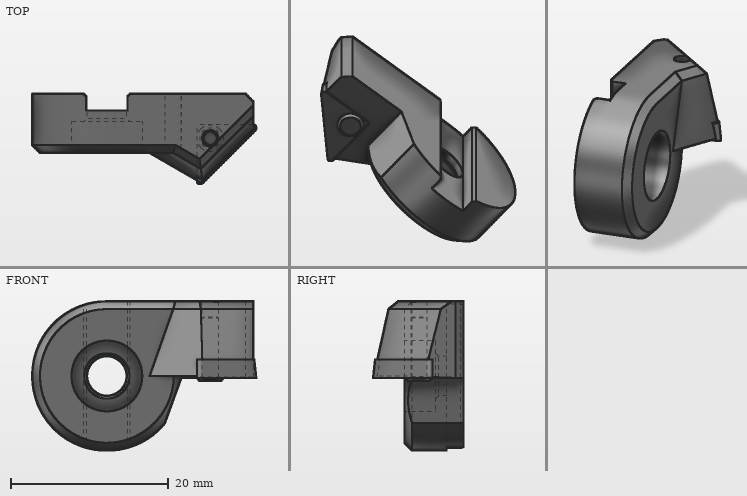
import cadquery as cq
import math

hub_radius = 9.505
thickness = 7.52
edge_chamfer = 1.0
hub_flat_distance = 8.98
hub_flat_angle = 20.0
bore_radius = 2.5
bore_chamfer = 0.37
counterbore_radius = 4.5
counterbore_depth = 4.0
slot_width = 5.2
slot_depth = 2.15
slot_edge_chamfer = 0.37

arm_end_x = 18.6
lean_angle = 10.0
facet_angle = 30.0
facet_start_x = 8.45
diagonal_position = 21.5

insert_bottom_z = -0.28
insert_height = 2.4
insert_flank_x = 11.43
insert_flank_y = -3.93
insert_edge_position = 23.55
insert_edge_relief = 0.25
insert_tip_radius = 0.43

screw_x = 13.15
screw_y = -5.67
screw_radius = 1.03
screw_end_chamfer = 0.17
screw_recess = 2.0
head_large_radius = 1.68
head_small_radius = 1.3
head_height = 0.37

diagonal_factor = math.sqrt(2)
chamfer_z = hub_radius - edge_chamfer
lean_offset = chamfer_z * math.tan(math.radians(lean_angle))


def arm_outline(front_y, facet_x, diagonal):
    """Corner points of a horizontal section through the arm."""
    slope = math.tan(math.radians(facet_angle))
    nose_x = (front_y + slope * facet_x + diagonal) / (1 + slope)
    return [
        (0, 0),
        (arm_end_x - edge_chamfer, 0),
        (arm_end_x, -edge_chamfer),
        (arm_end_x, arm_end_x - diagonal),
        (nose_x, nose_x - diagonal),
        (facet_x, front_y),
        (0, front_y),
    ]


def loft_between(lower, lower_z, upper, upper_z):
    wires = [
        cq.Wire.makePolygon([cq.Vector(x, y, z) for x, y in points], close=True)
        for points, z in ((lower, lower_z), (upper, upper_z))
    ]
    return cq.Workplane(cq.Solid.makeLoft(wires, True))


def make_hub():
    hub = cq.Workplane("XZ").circle(hub_radius).extrude(thickness)
    hub = hub.faces("<Y").chamfer(edge_chamfer)
    flat_cutter = (
        cq.Workplane("XY")
        .box(hub_radius, 3 * thickness, 4 * hub_radius, centered=(False, True, True))
        .translate((hub_flat_distance, 0, 0))
        .rotate((0, 0, 0), (0, 1, 0), hub_flat_angle)
    )
    below_arm = cq.Workplane("XY").box(
        4 * hub_radius, 3 * thickness, 2 * hub_radius, centered=(True, True, False)
    ).translate((0, 0, insert_bottom_z - 2 * hub_radius))
    return hub.cut(flat_cutter.intersect(below_arm))


def make_arm():
    facet_radians = math.radians(facet_angle)
    bottom = arm_outline(
        -thickness,
        facet_start_x - lean_offset / math.sin(facet_radians),
        diagonal_position + lean_offset * diagonal_factor,
    )
    middle = arm_outline(-thickness, facet_start_x, diagonal_position)
    top = arm_outline(
        edge_chamfer - thickness,
        facet_start_x + edge_chamfer * math.tan(facet_radians / 2),
        diagonal_position - edge_chamfer * diagonal_factor,
    )
    arm = loft_between(bottom, 0, middle, chamfer_z)
    arm = arm.union(loft_between(middle, chamfer_z, top, hub_radius))

    wedge = (
        cq.Workplane("YZ")
        .polyline([(0, 0), (-thickness, 0), (0, insert_bottom_z)])
        .close()
        .extrude(arm_end_x)
    )
    footprint = cq.Workplane("XY").polyline(bottom).close().extrude(insert_bottom_z)
    return arm.union(wedge.intersect(footprint))


def make_bore():
    bore = cq.Workplane("XZ").circle(bore_radius).extrude(thickness)
    profile = [
        (0, -thickness),
        (counterbore_radius, -thickness),
        (counterbore_radius, counterbore_depth - thickness),
        (bore_radius + bore_chamfer, counterbore_depth - thickness),
        (bore_radius, counterbore_depth + bore_chamfer - thickness),
        (0, counterbore_depth + bore_chamfer - thickness),
    ]
    counterbore = cq.Workplane("XY").polyline(profile).close().revolve(360, (0, 0), (0, 1))
    return bore.union(counterbore)


def make_slot():
    half = slot_width / 2
    profile = [
        (-half - slot_edge_chamfer, 0),
        (-half, -slot_edge_chamfer),
        (-half, -slot_depth),
        (half, -slot_depth),
        (half, -slot_edge_chamfer),
        (half + slot_edge_chamfer, 0),
    ]
    return cq.Workplane("XY").polyline(profile).close().extrude(hub_radius, both=True)


def make_insert():
    def section(edge_position, z):
        corners = [
            (insert_flank_x, insert_flank_y),
            (insert_flank_x, insert_flank_x - edge_position),
            (insert_flank_y + edge_position, insert_flank_y),
        ]
        wire = cq.Wire.makePolygon([cq.Vector(x, y, z) for x, y in corners], close=True)
        tips = [v for v in wire.Vertices() if (v.X, v.Y) != corners[0]]
        return wire.fillet2D(insert_tip_radius, tips)

    lower = section(insert_edge_position, insert_bottom_z)
    upper = section(insert_edge_position - insert_edge_relief, insert_bottom_z + insert_height)
    return cq.Workplane(cq.Solid.makeLoft([lower, upper], True))


def make_insert_seat():
    """Open seat for the insert: its two flanks bound a corner that is clear to the front."""
    profile = [
        (insert_flank_x, insert_flank_y),
        (insert_flank_x, -2 * thickness),
        (2 * arm_end_x, -2 * thickness),
        (2 * arm_end_x, insert_flank_y),
    ]
    plane = cq.Workplane("XY", origin=(0, 0, insert_bottom_z))
    return plane.polyline(profile).close().extrude(insert_height)


def make_screw():
    screw_top_z = hub_radius - screw_recess
    profile = [
        (0, insert_bottom_z - head_height),
        (head_small_radius, insert_bottom_z - head_height),
        (head_large_radius, insert_bottom_z),
        (screw_radius, insert_bottom_z),
        (screw_radius, screw_top_z - screw_end_chamfer),
        (screw_radius - screw_end_chamfer, screw_top_z),
        (0, screw_top_z),
    ]
    screw = cq.Workplane("XZ").polyline(profile).close().revolve(360, (0, 0), (0, 1))
    return screw.translate((screw_x, screw_y, 0))


screw_hole = (
    cq.Workplane("XY", origin=(screw_x, screw_y, insert_bottom_z))
    .circle(screw_radius)
    .extrude(hub_radius - insert_bottom_z)
)

insert_blank = make_insert()
holder = make_hub().union(make_arm()).cut(make_bore()).cut(make_slot())
holder = holder.cut(make_insert_seat()).cut(screw_hole)
insert = insert_blank.cut(screw_hole)
screw = make_screw()

result = cq.Compound.makeCompound([holder.solids().val(), insert.solids().val(), screw.val()])